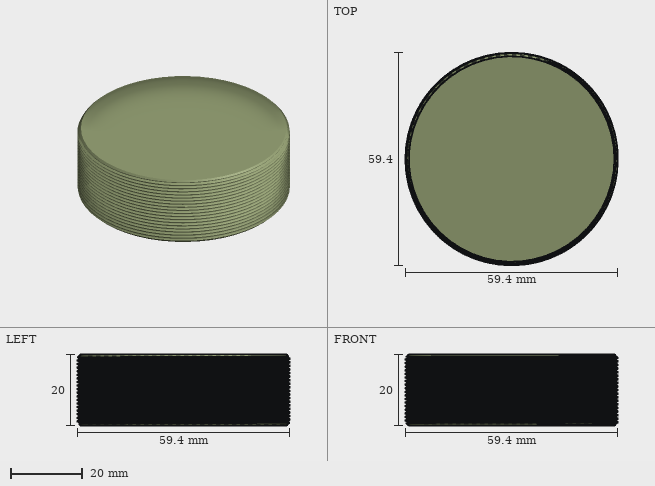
import cadquery as cq

outer_diameter = 59.35
height = 20.0
turns_along_height = 20
edge_chamfer = 1.0
thread_depth = 0.6
crest_flat_fraction = 1 / 8
root_flat_fraction = 1 / 4
cutter_overhang = 0.1

outer_radius = outer_diameter / 2
root_radius = outer_radius - thread_depth
pitch = height / turns_along_height
root_flat = pitch * root_flat_fraction
groove_mouth = pitch * (1 - crest_flat_fraction)

turns_per_segment = 2
segment_height = turns_per_segment * pitch
segment_count = turns_along_height // turns_per_segment + 1


def chamfered_disc():
    """Solid disc with both rims chamfered."""
    return cq.Workplane("XY").circle(outer_radius).extrude(height).edges().chamfer(edge_chamfer)


def helix_edge(radius, z):
    """Right-handed helix that starts on the +X side at the given level."""
    return cq.Wire.makeHelix(pitch, segment_height, radius).translate(cq.Vector(0, 0, z)).Edges()[0]


def groove_segment(start_z):
    """Stretch of helical trapezoidal groove whose centre starts on +X at the given level."""
    cutter_radius = outer_radius + cutter_overhang
    half_root = root_flat / 2
    flank_slope = (groove_mouth - root_flat) / 2 / thread_depth
    half_mouth = half_root + flank_slope * (cutter_radius - root_radius)
    corners = [
        helix_edge(root_radius, start_z - half_root),
        helix_edge(cutter_radius, start_z - half_mouth),
        helix_edge(cutter_radius, start_z + half_mouth),
        helix_edge(root_radius, start_z + half_root),
    ]
    next_corners = corners[1:] + corners[:1]
    sides = [cq.Face.makeRuledSurface(a, b) for a, b in zip(corners, next_corners)]
    ends = []
    for end in (0, 1):
        outline = cq.Wire.makePolygon([corner.positionAt(end) for corner in corners], close=True)
        ends.append(cq.Face.makeFromWires(outline))
    return cq.Solid.makeSolid(cq.Shell.makeShell(sides + ends)).fix()


def cut_thread(body):
    """Cut the groove from below the bottom face to above the top face."""
    first_z = -pitch / 2
    for segment in range(segment_count):
        body = body.cut(groove_segment(first_z + segment * segment_height))
    return body


result = cq.Workplane(cut_thread(chamfered_disc().val()).Solids()[0])